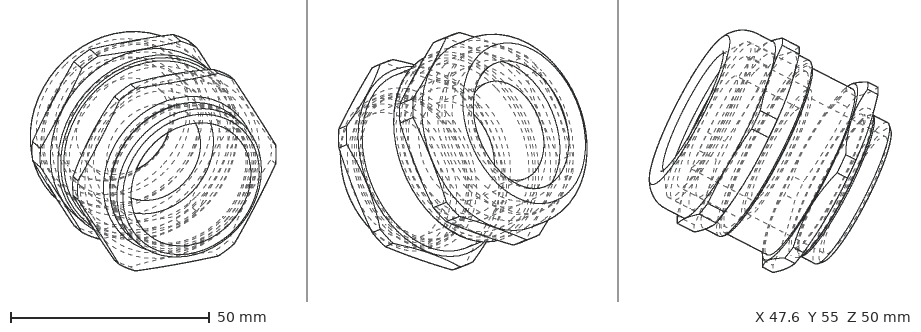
import cadquery as cq
import math

LENGTH = 47.6

HEX_ACROSS_FLATS = 50.0
HEX_CORNER_DIA = 55.0

CAP_DIA = 49.8
CAP_END_X = 22.0
CAP_ROUND_RADIUS = 7.0
CAP_ROUND_END_X = 6.25
CAP_EDGE_CHAMFER = 0.55
CAP_HEX_START_X = 11.0
CAP_HEX_END_X = 17.0
CAP_HEX_CHAMFER_ANGLE = 12.0
MOUTH_DIA = 33.5
MOUTH_ROUND = 1.25
LIP_END_X = 1.5
CAVITY_DIA = 44.1
CAVITY_CONE_END_X = 5.5

SEAL_BORE_DIA = 26.0
SEAL_DIA = 37.0
SEAL_FRONT_X = 6.7
SEAL_END_X = 25.0

BODY_DIA = 47.0
BODY_BORE_DIA = 33.2
SPIGOT_FRONT_X = 12.0
BODY_HEX_START_X = 34.6
BODY_HEX_END_X = 39.65
BODY_HEX_FRONT_ANGLE = 30.0
BODY_HEX_BACK_ANGLE = 11.0
BODY_HEX_SEAT_DIA = 49.0
THREAD_DIA = 40.0
THREAD_END_CHAMFER = 1.1
THREAD_START_CHAMFER = 0.4

GROOVE_DIA = 37.8
O_RING_SECTION_DIA = 2.1
GROOVE_END_X = BODY_HEX_END_X + O_RING_SECTION_DIA


def revolve_about_x(profile):
    """Turn a closed profile, drawn as (x, radius), once around the X axis."""
    return profile.revolve(360, (0, 0, 0), (1, 0, 0))


def tube(start_x, end_x, outer_dia, inner_dia):
    ring = cq.Workplane("YZ", origin=(start_x, 0, 0)).circle(outer_dia / 2).circle(inner_dia / 2)
    return ring.extrude(end_x - start_x)


def cylinder(start_x, end_x, dia):
    return cq.Workplane("YZ", origin=(start_x, 0, 0)).circle(dia / 2).extrude(end_x - start_x)


def hexagon(start_x, end_x, front_dia, front_angle, back_dia, back_angle):
    """Hexagon with flats facing +Z and -Z, its corners turned round and its two ends coned.

    Each cone starts at the given diameter on the end face and leans back by the given angle.
    """
    vertex_dia = HEX_ACROSS_FLATS / math.cos(math.pi / 6)
    prism = cq.Workplane("YZ", origin=(start_x, 0, 0)).polygon(6, vertex_dia).extrude(end_x - start_x)
    corner_radius = HEX_CORNER_DIA / 2
    front_drop = (corner_radius - front_dia / 2) * math.tan(math.radians(front_angle))
    back_drop = (corner_radius - back_dia / 2) * math.tan(math.radians(back_angle))
    turned = revolve_about_x(
        cq.Workplane("XY")
        .moveTo(start_x, 0)
        .lineTo(start_x, front_dia / 2)
        .lineTo(start_x + front_drop, corner_radius)
        .lineTo(end_x - back_drop, corner_radius)
        .lineTo(end_x, back_dia / 2)
        .lineTo(end_x, 0)
        .close()
    )
    return prism.intersect(turned)


def make_cap_nut():
    outer_radius = CAP_DIA / 2
    round_centre_radius = outer_radius - CAP_ROUND_RADIUS
    face_radius = round_centre_radius + math.sqrt(CAP_ROUND_RADIUS**2 - CAP_ROUND_END_X**2)
    middle_angle = (math.pi / 2 + math.atan2(face_radius - round_centre_radius, -CAP_ROUND_END_X)) / 2
    round_middle = (
        CAP_ROUND_END_X + CAP_ROUND_RADIUS * math.cos(middle_angle),
        round_centre_radius + CAP_ROUND_RADIUS * math.sin(middle_angle),
    )
    shell = revolve_about_x(
        cq.Workplane("XY")
        .moveTo(0, 0)
        .lineTo(0, face_radius)
        .threePointArc(round_middle, (CAP_ROUND_END_X, outer_radius))
        .lineTo(CAP_END_X - CAP_EDGE_CHAMFER, outer_radius)
        .lineTo(CAP_END_X, outer_radius - CAP_EDGE_CHAMFER)
        .lineTo(CAP_END_X, 0)
        .close()
    )
    wrench_hex = hexagon(
        CAP_HEX_START_X, CAP_HEX_END_X,
        CAP_DIA, CAP_HEX_CHAMFER_ANGLE,
        CAP_DIA, CAP_HEX_CHAMFER_ANGLE,
    )

    mouth_radius = MOUTH_DIA / 2
    opening = revolve_about_x(
        cq.Workplane("XY")
        .moveTo(0, 0)
        .lineTo(0, mouth_radius + MOUTH_ROUND)
        .radiusArc((MOUTH_ROUND, mouth_radius), -MOUTH_ROUND)
        .lineTo(LIP_END_X, mouth_radius)
        .lineTo(CAVITY_CONE_END_X, CAVITY_DIA / 2)
        .lineTo(CAP_END_X, CAVITY_DIA / 2)
        .lineTo(CAP_END_X, 0)
        .close()
    )
    return shell.union(wrench_hex).cut(opening)


def make_seal():
    return tube(SEAL_FRONT_X, SEAL_END_X, SEAL_DIA, SEAL_BORE_DIA)


def make_clamping_cage():
    return tube(SEAL_FRONT_X, SPIGOT_FRONT_X, CAVITY_DIA, SEAL_DIA)


def make_gland_body():
    spigot = cylinder(SPIGOT_FRONT_X, CAP_END_X, CAVITY_DIA)
    barrel = cylinder(CAP_END_X, BODY_HEX_START_X, BODY_DIA)
    wrench_hex = hexagon(
        BODY_HEX_START_X, BODY_HEX_END_X,
        CAP_DIA, BODY_HEX_FRONT_ANGLE,
        BODY_HEX_SEAT_DIA, BODY_HEX_BACK_ANGLE,
    )
    groove_floor = cylinder(BODY_HEX_END_X, GROOVE_END_X, GROOVE_DIA)
    thread = (
        cylinder(GROOVE_END_X, LENGTH, THREAD_DIA)
        .faces(">X").chamfer(THREAD_END_CHAMFER)
        .faces("<X").chamfer(THREAD_START_CHAMFER)
    )
    seal_socket = cylinder(SPIGOT_FRONT_X, SEAL_END_X, SEAL_DIA)
    bore = cylinder(SEAL_END_X, LENGTH, BODY_BORE_DIA)
    outside = spigot.union(barrel).union(wrench_hex).union(groove_floor).union(thread)
    return outside.cut(seal_socket).cut(bore)


def make_o_ring():
    section_radius = O_RING_SECTION_DIA / 2
    return revolve_about_x(
        cq.Workplane("XY")
        .moveTo(BODY_HEX_END_X + section_radius, GROOVE_DIA / 2 + section_radius)
        .circle(section_radius)
    )


cap_nut = make_cap_nut()
seal = make_seal()
clamping_cage = make_clamping_cage()
gland_body = make_gland_body()
o_ring = make_o_ring()

result = cq.Compound.makeCompound(
    [cap_nut.val(), seal.val(), clamping_cage.val(), gland_body.val(), o_ring.val()]
)